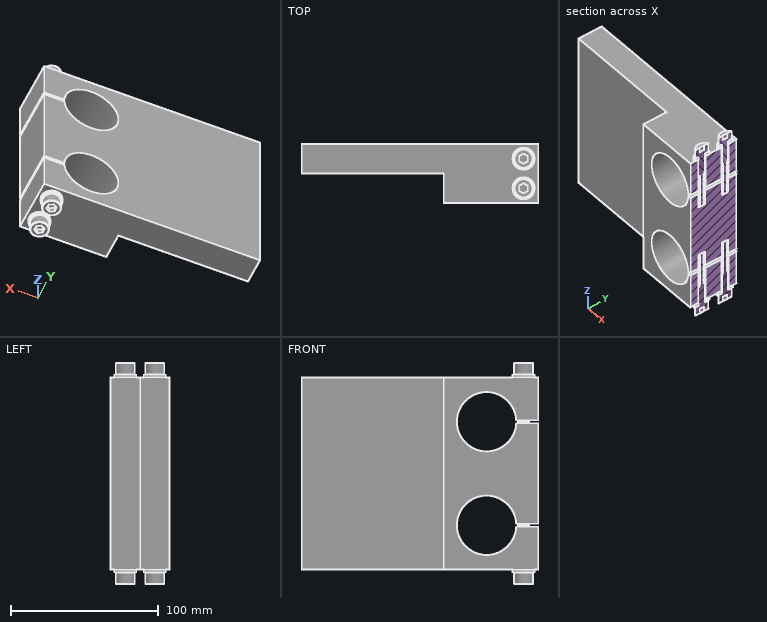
import cadquery as cq

plate_length = 160.0
plate_height = 130.0
slab_thickness = 20.0
clamp_thickness = 40.0
clamp_length = 64.0

bore_diameter = 40.0
bore_x = 125.0
bore_spacing = 70.0
slot_width = 2.0

screw_x = 150.0
screw_spacing = 20.0
screw_diameter = 8.0
screw_length = 45.0
head_diameter = 13.0
head_height = 8.0
head_chamfer = 0.4
socket_across_flats = 6.0
socket_depth = 4.0

thread_length = 28.0
thread_pitch = 1.25
thread_minor_diameter = 6.7
groove_overrun = 0.05
groove_root_width = thread_pitch / 4
groove_mouth_width = thread_pitch * 7 / 8

washer_diameter = 15.0
washer_thickness = 1.8
clearance_diameter = 8.4

half_height = plate_height / 2
bore_heights = [-bore_spacing / 2, bore_spacing / 2]
screw_rows = [clamp_thickness / 2 + side * screw_spacing / 2 for side in (-1, 1)]
head_seat_z = half_height + washer_thickness
screw_tip_z = head_seat_z - screw_length


def both_ends(upper):
    """The body at the top end and its copy turned over to the bottom end."""
    middle = (0, clamp_thickness / 2, 0)
    turned = upper.rotate(middle, (1, clamp_thickness / 2, 0), 180)
    return [upper, turned]


def rod(diameter, bottom, top, y):
    """Upright cylinder on the screw line, at one screw row."""
    return (
        cq.Workplane("XY", origin=(screw_x, y, bottom))
        .circle(diameter / 2)
        .extrude(top - bottom)
    )


def make_plate():
    slab_front = clamp_thickness - slab_thickness
    step_x = plate_length - clamp_length
    plate = (
        cq.Workplane("XY", origin=(0, 0, -half_height))
        .moveTo(0, slab_front)
        .lineTo(step_x, slab_front)
        .lineTo(step_x, 0)
        .lineTo(plate_length, 0)
        .lineTo(plate_length, clamp_thickness)
        .lineTo(0, clamp_thickness)
        .close()
        .extrude(plate_height)
    )

    slot_length = plate_length - bore_x
    for bore_z in bore_heights:
        bore = (
            cq.Workplane("XZ")
            .center(bore_x, bore_z)
            .circle(bore_diameter / 2)
            .extrude(-clamp_thickness)
        )
        slot = (
            cq.Workplane("XY", origin=(bore_x, 0, bore_z))
            .box(slot_length, clamp_thickness, slot_width, centered=(False, False, True))
        )
        plate = plate.cut(bore).cut(slot)

    for y in screw_rows:
        ear_hole = rod(clearance_diameter, bore_spacing / 2, half_height, y)
        core_hole = rod(screw_diameter, screw_tip_z, bore_spacing / 2, y)
        for screw_hole in both_ends(ear_hole.union(core_hole)):
            plate = plate.cut(screw_hole)
    return plate


def make_thread_groove():
    """Helical groove that runs out past the screw tip; the head seat is at Z = 0."""
    bottom = -screw_length - thread_pitch
    root_radius = thread_minor_diameter / 2
    crest_radius = screw_diameter / 2
    flank_slope = (groove_mouth_width - groove_root_width) / 2 / (crest_radius - root_radius)
    root_half = groove_root_width / 2
    outer_half = groove_mouth_width / 2 + flank_slope * groove_overrun
    outer_radius = crest_radius + groove_overrun

    helix = cq.Wire.makeHelix(thread_pitch, thread_length + thread_pitch, crest_radius)
    groove = (
        cq.Workplane("XZ")
        .moveTo(root_radius, -root_half)
        .lineTo(outer_radius, -outer_half)
        .lineTo(outer_radius, outer_half)
        .lineTo(root_radius, root_half)
        .close()
        .sweep(cq.Workplane(obj=helix), isFrenet=True)
    )
    return groove.translate((0, 0, bottom))


def make_screw():
    """Socket head screw on the Z axis with its head seat at Z = 0."""
    head = (
        cq.Workplane("XY")
        .circle(head_diameter / 2)
        .extrude(head_height)
        .edges()
        .chamfer(head_chamfer)
    )
    socket = (
        cq.Workplane("XY", origin=(0, 0, head_height - socket_depth))
        .polygon(6, socket_across_flats, circumscribed=True)
        .extrude(socket_depth)
    )
    shank = cq.Workplane("XY").circle(screw_diameter / 2).extrude(-screw_length)
    return head.cut(socket).union(shank.cut(make_thread_groove()))


def make_washer(y):
    washer = rod(washer_diameter, half_height, head_seat_z, y)
    return washer.cut(rod(clearance_diameter, half_height, head_seat_z, y))


plate = make_plate()
screw = make_screw()
screws = []
washers = []
for y in screw_rows:
    screws += both_ends(screw.translate((screw_x, y, head_seat_z)))
    washers += both_ends(make_washer(y))

result = cq.Compound.makeCompound([body.val() for body in [plate, *screws, *washers]])